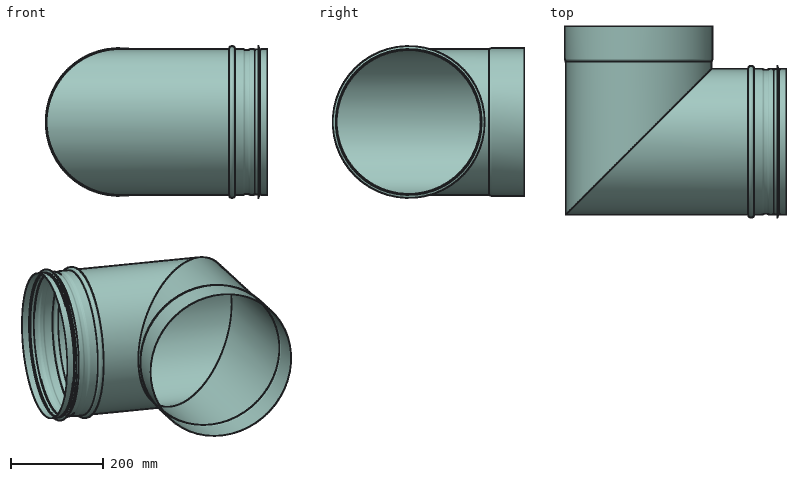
import cadquery as cq


pipe_radius = 316.5 / 2
wall = 0.5
pipe_bore_radius = pipe_radius - wall

spigot_end = 319.7
socket_end = 250.0

bead_radius = 329.5 / 2
bead_centre = 243.5
bead_half_width = 6.5

groove_floor_radius = 312.0 / 2
open_groove_start = 267.0
open_groove_end = 283.5
open_groove_flank = 6.0
seal_groove_start = 290.0
seal_groove_end = 307.0
seal_groove_flank = 3.0

seal_band_radius = 315.5 / 2
seal_lip_radius = 329.5 / 2
seal_lip_start = 300.0
seal_lip_root = 2.5
seal_lip_tip = 0.5

collar_radius = 320.5 / 2
collar_neck_radius = pipe_radius + wall
collar_neck_start = 173.5
collar_taper_start = 174.5
collar_taper_end = 179.5

trim_reach = 2 * pipe_radius
trim_height = 4 * pipe_radius


def trim_block(side_point):
    """Triangular block on one side of the mitre plane X = Y."""
    return (
        cq.Workplane("XY")
        .workplane(offset=-trim_height / 2)
        .polyline([(-trim_reach, -trim_reach), (trim_reach, trim_reach), side_point])
        .close()
        .extrude(trim_height)
    )


def add_groove(profile, start, end, flank, inset):
    """Run the profile from start to end along a groove whose flanks are S-curves.

    The flank is signed: negative when the profile runs towards -X.
    """
    top = pipe_radius - inset
    floor = groove_floor_radius - inset
    middle = (top + floor) / 2
    return (
        profile.lineTo(start, top)
        .tangentArcPoint((start + flank / 2, middle), relative=False)
        .tangentArcPoint((start + flank, floor), relative=False)
        .lineTo(end - flank, floor)
        .tangentArcPoint((end - flank / 2, middle), relative=False)
        .tangentArcPoint((end, top), relative=False)
    )


def make_spigot_leg():
    """Leg along +X, with its bead and grooves pressed out of the same sheet."""
    bead_inner_half_width = bead_half_width - wall

    profile = (
        cq.Workplane("XY")
        .moveTo(-pipe_radius, pipe_radius)
        .lineTo(bead_centre - bead_half_width, pipe_radius)
        .threePointArc((bead_centre, bead_radius), (bead_centre + bead_half_width, pipe_radius))
    )
    profile = add_groove(profile, open_groove_start, open_groove_end, open_groove_flank, 0)
    profile = add_groove(profile, seal_groove_start, seal_groove_end, seal_groove_flank, 0)
    profile = profile.lineTo(spigot_end, pipe_radius).lineTo(spigot_end, pipe_bore_radius)
    profile = add_groove(profile, seal_groove_end, seal_groove_start, -seal_groove_flank, wall)
    profile = add_groove(profile, open_groove_end, open_groove_start, -open_groove_flank, wall)
    profile = (
        profile.lineTo(bead_centre + bead_inner_half_width, pipe_bore_radius)
        .threePointArc(
            (bead_centre, bead_radius - wall),
            (bead_centre - bead_inner_half_width, pipe_bore_radius),
        )
        .lineTo(-pipe_radius, pipe_bore_radius)
        .close()
    )
    pipe = profile.revolve(360, (0, 0, 0), (1, 0, 0))
    return pipe.cut(trim_block((-trim_reach, trim_reach)))


def make_socket_leg():
    """Plain leg along +Y, ending inside the neck of the collar."""
    pipe = (
        cq.Workplane("XZ", origin=(0, -pipe_radius, 0))
        .circle(pipe_radius)
        .circle(pipe_bore_radius)
        .extrude(-(pipe_radius + collar_taper_start))
    )
    return pipe.cut(trim_block((trim_reach, -trim_reach)))


def make_collar():
    """Thin socket that tapers down to a neck gripping the +Y leg."""
    outer = [
        (collar_neck_radius, collar_neck_start),
        (collar_neck_radius, collar_taper_start),
        (collar_radius, collar_taper_end),
        (collar_radius, socket_end),
    ]
    inner = [(radius - wall, along) for radius, along in outer]
    return (
        cq.Workplane("XY")
        .polyline(outer + inner[::-1])
        .close()
        .revolve(360, (0, 0, 0), (0, 1, 0))
    )


def make_seal():
    """Seal ring: a band lying on the groove floor, with one thin upright lip."""
    floor_start = seal_groove_start + seal_groove_flank
    floor_end = seal_groove_end - seal_groove_flank
    return (
        cq.Workplane("XY")
        .polyline([
            (floor_start, groove_floor_radius),
            (floor_start, seal_band_radius),
            (seal_lip_start, seal_band_radius),
            (seal_lip_start, seal_lip_radius),
            (seal_lip_start + seal_lip_tip, seal_lip_radius),
            (seal_lip_start + seal_lip_root, seal_band_radius),
            (floor_end, seal_band_radius),
            (floor_end, groove_floor_radius),
        ])
        .close()
        .revolve(360, (0, 0, 0), (1, 0, 0))
    )


spigot_leg = make_spigot_leg()
socket_leg = make_socket_leg()
collar = make_collar()
seal = make_seal()

result = cq.Compound.makeCompound([
    spigot_leg.val(),
    socket_leg.val(),
    collar.val(),
    seal.val(),
])